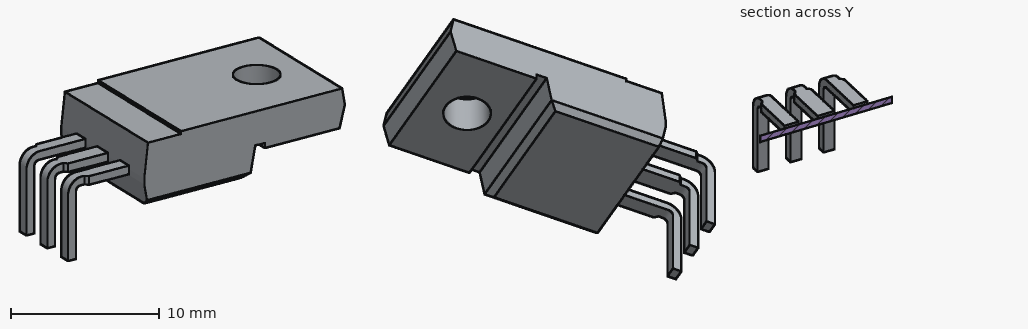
import cadquery as cq


body_width = 10.16
body_length = 16.13
total_length = 20.86
total_height = 8.45
body_height = 4.83

front_band_top_z = -2.76
front_band_bottom_z = -3.19
front_slope_inset = 0.30
top_step_depth = 0.20
top_step_y = 2.96

tab_thickness = 2.88
tab_ridge_z = -1.25
tab_top_inset = 0.22
tab_bottom_inset = 0.43
mounting_hole_diameter = 3.20
mounting_hole_y = 12.38

notch_roof_z = -2.50
notch_back_y = 9.69
notch_front_y = 8.93

bevel_height = 0.43
bevel_width = 0.45
bevel_top_y = 8.56
bevel_bottom_y = 8.06

lead_pitch = 2.54
lead_thickness = 0.64
lead_top_z = notch_roof_z
lead_outer_bend_radius = 1.10
lead_inner_bend_radius = 0.35
lead_taper_start = 3.20
lead_width = 0.85
lead_shoulder = 0.23


def side_bevel_cutter(side):
    """Wedge along one bottom edge of the body; side is -1 or +1 along X."""
    edge_x = side * body_width / 2
    return (
        cq.Workplane("XZ")
        .polyline([
            (edge_x, -body_height + bevel_height),
            (edge_x, -body_height),
            (edge_x - side * bevel_width, -body_height),
        ])
        .close()
        .extrude(-body_length)
    )


def make_body():
    profile = [
        (0, front_band_bottom_z),
        (0, front_band_top_z),
        (front_slope_inset, -top_step_depth),
        (top_step_y, -top_step_depth),
        (top_step_y, 0),
        (body_length - tab_top_inset, 0),
        (body_length, tab_ridge_z),
        (body_length - tab_bottom_inset, -tab_thickness),
        (notch_back_y, -tab_thickness),
        (notch_back_y, notch_roof_z),
        (notch_front_y, notch_roof_z),
        (bevel_top_y, -body_height + bevel_height),
        (bevel_bottom_y, -body_height),
        (front_slope_inset, -body_height),
    ]
    body = cq.Workplane("YZ").polyline(profile).close().extrude(body_width / 2, both=True)
    for side in (-1, 1):
        body = body.cut(side_bevel_cutter(side))

    mounting_hole = (
        cq.Workplane("XY")
        .center(0, mounting_hole_y)
        .circle(mounting_hole_diameter / 2)
        .extrude(-body_height)
    )
    return body.cut(mounting_hole)


def bent_strip():
    """Lead of constant width: straight out of the body, round the bend and straight down."""
    tip_y = body_length - total_length
    inner_y = tip_y + lead_thickness
    bottom_z = lead_top_z - lead_thickness
    return (
        cq.Workplane("YZ")
        .moveTo(0, lead_top_z)
        .lineTo(tip_y + lead_outer_bend_radius, lead_top_z)
        .radiusArc((tip_y, lead_top_z - lead_outer_bend_radius), -lead_outer_bend_radius)
        .lineTo(tip_y, -total_height)
        .lineTo(inner_y, -total_height)
        .lineTo(inner_y, bottom_z - lead_inner_bend_radius)
        .radiusArc((inner_y + lead_inner_bend_radius, bottom_z), lead_inner_bend_radius)
        .lineTo(0, bottom_z)
        .close()
        .extrude(lead_width / 2, both=True)
    )


def shoulder_block(side):
    """Strip that widens a lead next to the body; its free end tapers at 45 degrees."""
    inner_x = side * lead_width / 2
    outer_x = inner_x + side * lead_shoulder
    taper_end_y = -lead_taper_start - lead_shoulder
    return (
        cq.Workplane("XY", origin=(0, 0, lead_top_z))
        .polyline([(inner_x, 0), (outer_x, 0), (outer_x, -lead_taper_start), (inner_x, taper_end_y)])
        .close()
        .extrude(-lead_thickness)
    )


def make_lead(center_x, shoulder_sides):
    """One lead with shoulders on the listed sides, -1 for left and +1 for right."""
    lead = bent_strip()
    for side in shoulder_sides:
        lead = lead.union(shoulder_block(side))
    return lead.translate((center_x, 0, 0))


body = make_body()

leads = []
for position, shoulder_sides in ((-1, [-1]), (0, [-1, 1]), (1, [1])):
    leads.append(make_lead(position * lead_pitch, shoulder_sides))

result = cq.Compound.makeCompound([
    body.solids().val(),
    *[lead.solids().val() for lead in leads],
])